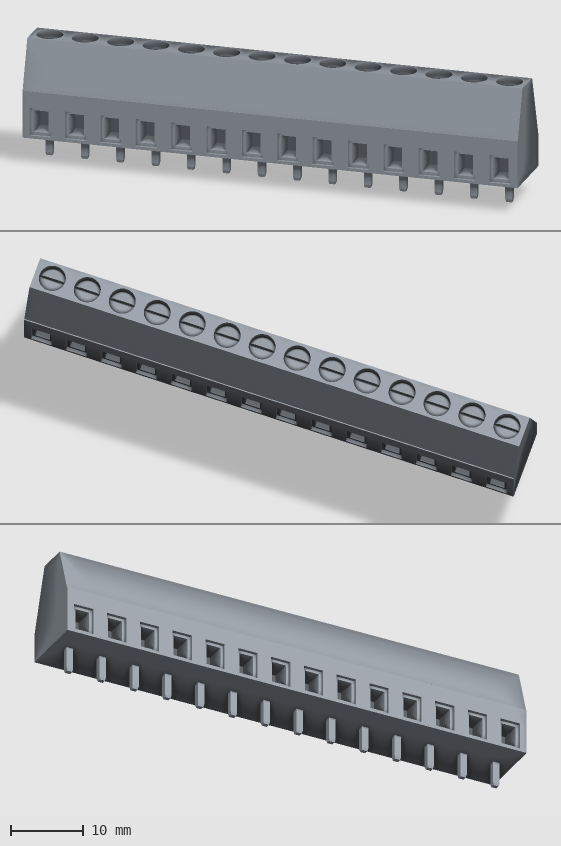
import cadquery as cq
import math

POLES = 14
LENGTH = 71.1
PITCH = LENGTH / POLES

DEPTH = 9.8
HEIGHT = 13.7
FRONT_SHOULDER = 6.8
FRONT_LEDGE = 0.15
REAR_SHOULDER = 4.2
TOP_WIDTH = 4.5
POLE_Y = 4.55
TOP_FRONT_Y = POLE_Y - TOP_WIDTH / 2
TOP_REAR_Y = POLE_Y + TOP_WIDTH / 2

ENTRY_WIDTH = 3.0
ENTRY_HEIGHT = 4.0
ENTRY_BOTTOM = 0.4
ENTRY_STEP_DEPTH = 0.5
ENTRY_RIM = 0.4
ENTRY_DEPTH = 3.55

SCREW_DIAMETER = 3.7
SCREW_FLAT_DIAMETER = 2.0
SCREW_RECESS = 0.65
SLOT_WIDTH = 0.4

PIN_WIDTH = 1.0
PIN_THICKNESS = 0.85
PIN_LENGTH = 3.7
PIN_CHAMFER = 0.11
PIN_TIP_LENGTH = 0.4

pole_points = [((i - (POLES - 1) / 2) * PITCH, POLE_Y) for i in range(POLES)]


def make_housing():
    """Tapered profile with a narrow front ledge, extruded along the row of poles."""
    profile = [
        (0, 0),
        (DEPTH, 0),
        (DEPTH, REAR_SHOULDER),
        (TOP_REAR_Y, HEIGHT),
        (TOP_FRONT_Y, HEIGHT),
        (FRONT_LEDGE, FRONT_SHOULDER),
        (0, FRONT_SHOULDER),
    ]
    return cq.Workplane("YZ").polyline(profile).close().extrude(LENGTH / 2, both=True)


def make_entry():
    """Stepped wire entry, centred on X = 0 and open at the front face."""
    center_z = ENTRY_BOTTOM + ENTRY_HEIGHT / 2
    rim = cq.Workplane("XY").box(
        ENTRY_WIDTH, ENTRY_STEP_DEPTH, ENTRY_HEIGHT, centered=(True, False, True)
    )
    bore = cq.Workplane("XY").box(
        ENTRY_WIDTH - 2 * ENTRY_RIM,
        ENTRY_DEPTH,
        ENTRY_HEIGHT - 2 * ENTRY_RIM,
        centered=(True, False, True),
    )
    return rim.union(bore).translate((0, 0, center_z))


def make_screw_recess():
    """Space above a round-shouldered, slotted screw head, centred on the Z axis."""
    radius = SCREW_DIAMETER / 2
    flat_radius = SCREW_FLAT_DIAMETER / 2
    shoulder_radius = radius - flat_radius
    head_top = HEIGHT - SCREW_RECESS
    head_base = head_top - shoulder_radius
    arc_offset = shoulder_radius * math.sin(math.radians(45))
    space = (
        cq.Workplane("XZ")
        .moveTo(0, HEIGHT)
        .lineTo(0, head_top)
        .lineTo(flat_radius, head_top)
        .threePointArc((flat_radius + arc_offset, head_base + arc_offset), (radius, head_base))
        .lineTo(radius, HEIGHT)
        .close()
        .revolve(360, (0, 0), (0, 1))
    )
    bore = cq.Workplane("XY").workplane(offset=head_base).circle(radius).extrude(HEIGHT - head_base)
    slot = cq.Workplane("XY").box(SCREW_DIAMETER, SLOT_WIDTH, HEIGHT, centered=(True, True, False))
    slot = slot.translate((0, 0, head_base)).intersect(bore)
    return space.union(slot)


def make_pin():
    """Solder pin hanging below the housing, centred on the Z axis."""
    pin = cq.Workplane("XY").rect(PIN_WIDTH, PIN_THICKNESS).extrude(-PIN_LENGTH)
    return pin.faces("<Z").chamfer(PIN_TIP_LENGTH, PIN_CHAMFER)


housing = make_housing()
entry = make_entry()
screw_recess = make_screw_recess()
pin = make_pin()

result = housing
for x, y in pole_points:
    result = result.cut(entry.translate((x, 0, 0)))
    result = result.cut(screw_recess.translate((x, y, 0)))
    result = result.union(pin.translate((x, y, 0)))